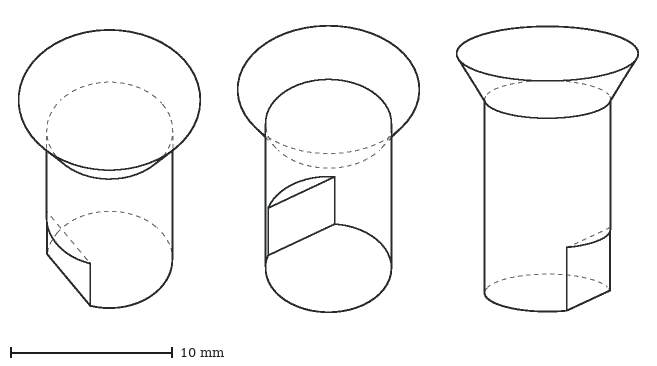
import cadquery as cq

total_length = 15.5
head_diameter = 11.25
head_height = 2.96
shank_diameter = 7.8
flat_height = 4.1
flat_distance = 3.0

head_radius = head_diameter / 2
shank_radius = shank_diameter / 2
shank_length = total_length - head_height


def make_body():
    """Cylindrical shank with a conical head, revolved about Z."""
    return (
        cq.Workplane("XZ")
        .moveTo(0, 0)
        .lineTo(shank_radius, 0)
        .lineTo(shank_radius, shank_length)
        .lineTo(head_radius, total_length)
        .lineTo(0, total_length)
        .close()
        .revolve(360, (0, 0, 0), (0, 1, 0))
    )


def make_flat_cutter():
    """Block that removes the -Y side of the shank's lower end."""
    return (
        cq.Workplane("XY")
        .box(shank_diameter, shank_radius, flat_height, centered=(True, False, False))
        .translate((0, -flat_distance - shank_radius, 0))
    )


result = make_body().cut(make_flat_cutter())